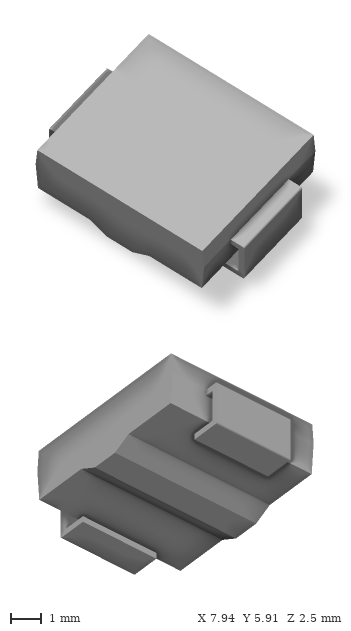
import cadquery as cq

overall_length = 7.94
overall_depth = 5.91
overall_height = 2.5

waist_width = 6.845
top_width = 6.7
bottom_width = 6.65
waist_height = 1.69
bottom_height = 0.49

bump_base_width = 2.4
bump_tip_width = 1.02
bump_tip_height = 0.14

lead_width = 3.07
lead_top_height = 1.675
lead_thickness = 0.23
foot_length = 1.14
bend_radius = 0.06
lead_embedding = 0.24


def extrude_centred(profile, depth):
    """Extrude an XZ profile by the given depth, centred on Y = 0."""
    return profile.extrude(depth / 2, both=True)


def make_body():
    """Body with drafted ends meeting at the waist, and the bump below."""
    profile = (
        cq.Workplane("XZ")
        .moveTo(0, overall_height)
        .lineTo(top_width / 2, overall_height)
        .lineTo(waist_width / 2, waist_height)
        .lineTo(bottom_width / 2, bottom_height)
        .lineTo(bump_base_width / 2, bottom_height)
        .lineTo(bump_tip_width / 2, bump_tip_height)
        .lineTo(0, bump_tip_height)
        .mirrorY()
    )
    return extrude_centred(profile, overall_depth)


def make_left_lead():
    """Lead leaving the body just below the waist, bent down and back under the body."""
    outer_x = -overall_length / 2
    inner_x = outer_x + lead_thickness
    root_x = -waist_width / 2 + lead_embedding
    foot_x = outer_x + foot_length
    profile = (
        cq.Workplane("XZ")
        .moveTo(root_x, lead_top_height)
        .lineTo(outer_x, lead_top_height)
        .lineTo(outer_x, 0)
        .lineTo(foot_x, 0)
        .lineTo(foot_x, lead_thickness)
        .lineTo(inner_x, lead_thickness)
        .lineTo(inner_x, lead_top_height - lead_thickness)
        .lineTo(root_x, lead_top_height - lead_thickness)
        .close()
    )
    lead = extrude_centred(profile, lead_width)

    bend_limit = inner_x + lead_thickness / 2
    bend_edges = lead.edges("|Y").filter(lambda edge: edge.Center().x < bend_limit)
    return bend_edges.fillet(bend_radius)


left_lead = make_left_lead()
right_lead = left_lead.mirror("YZ")
result = make_body().union(left_lead).union(right_lead)